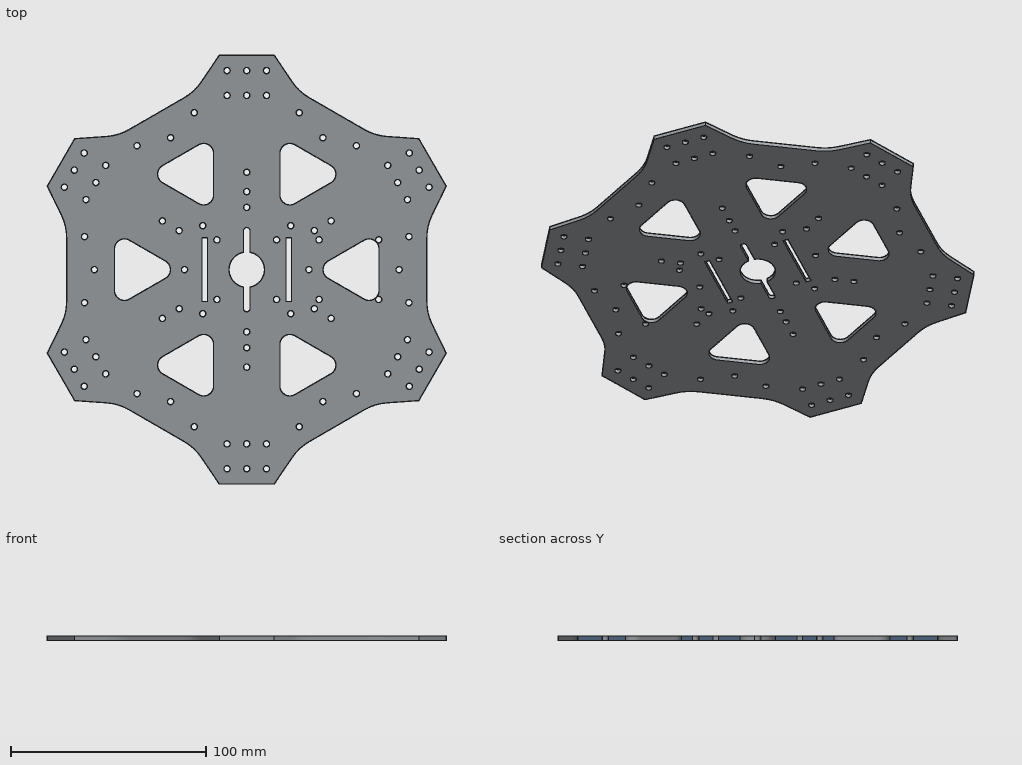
import cadquery as cq
import math

THICKNESS = 2.5
ARM_COUNT = 6
ARM_PITCH = 360 / ARM_COUNT
FIRST_ARM_ANGLE = 90
FIRST_SIDE_ANGLE = 0

ARM_REACH = 110.0
ARM_TIP_HALF_WIDTH = 14.0
BODY_APOTHEM = 92.5
ARM_FLARE_ANGLE = 34.0
VALLEY_RADIUS = 26.5

HOLE_DIAMETER = 3.0
MOTOR_ROWS = (
    (102.0, (-10.1, 0, 10.1)),
    (89.3, (-10.1, 0, 10.1)),
)
ARM_INNER_RADII = (50.0, 40.0)
SIDE_MIDDLE_RADIUS = 78.0
SIDE_PAIR_APOTHEM = 83.2
SIDE_PAIR_OFFSET = 17.0
HUB_CIRCLE_RADIUS = 32.0
HUB_HOLE_COUNT = 8
MOUNT_PITCH = 30.5
MOUNT_CENTRES_X = (0, 52.4)

WINDOW_CENTRE_RADIUS = 56.5
WINDOW_APOTHEM = 11.2
WINDOW_CORNER_RADIUS = 5.0

BORE_DIAMETER = 18.0
KEY_SLOT_LENGTH = 43.1
KEY_SLOT_WIDTH = 3.3
STRAP_SLOT_X = 21.5
STRAP_SLOT_LENGTH = 32.5
STRAP_SLOT_WIDTH = 2.6


def polar(along, across, angle):
    """Point at `along` in the direction `angle`, shifted `across` to its left."""
    a = math.radians(angle)
    return (
        along * math.cos(a) - across * math.sin(a),
        along * math.sin(a) + across * math.cos(a),
    )


def around(first_angle):
    """The six directions that start at `first_angle`."""
    return [first_angle + i * ARM_PITCH for i in range(ARM_COUNT)]


def make_plate():
    corner_along, corner_across = polar(ARM_REACH, -ARM_TIP_HALF_WIDTH, ARM_PITCH / 2)
    flank_angle = math.radians(ARM_PITCH / 2 + ARM_FLARE_ANGLE)
    valley_across = corner_across - (corner_along - BODY_APOTHEM) * math.tan(flank_angle)

    points = []
    for angle in around(FIRST_SIDE_ANGLE):
        points += [
            polar(corner_along, -corner_across, angle),
            polar(BODY_APOTHEM, -valley_across, angle),
            polar(BODY_APOTHEM, valley_across, angle),
            polar(corner_along, corner_across, angle),
        ]
    blank = cq.Workplane("XY").polyline(points).close().extrude(THICKNESS)

    valley_distance = math.hypot(BODY_APOTHEM, valley_across)
    corner_distance = math.hypot(ARM_REACH, ARM_TIP_HALF_WIDTH)
    limit = (valley_distance + corner_distance) / 2
    edges = [
        e for e in blank.edges("|Z").vals()
        if math.hypot(e.Center().x, e.Center().y) < limit
    ]
    return blank.newObject(edges).fillet(VALLEY_RADIUS)


def hole_centres():
    centres = []
    for angle in around(FIRST_ARM_ANGLE):
        for along, offsets in MOTOR_ROWS:
            centres += [polar(along, across, angle) for across in offsets]
        centres += [polar(radius, 0, angle) for radius in ARM_INNER_RADII]
    for angle in around(FIRST_SIDE_ANGLE):
        centres.append(polar(SIDE_MIDDLE_RADIUS, 0, angle))
        centres.append(polar(SIDE_PAIR_APOTHEM, SIDE_PAIR_OFFSET, angle))
        centres.append(polar(SIDE_PAIR_APOTHEM, -SIDE_PAIR_OFFSET, angle))
    for i in range(HUB_HOLE_COUNT):
        centres.append(polar(HUB_CIRCLE_RADIUS, 0, i * 360 / HUB_HOLE_COUNT))
    half = MOUNT_PITCH / 2
    for x in MOUNT_CENTRES_X:
        centres += [(x + dx, dy) for dx in (-half, half) for dy in (-half, half)]
    return centres


def make_holes():
    holes = cq.Workplane("XY").pushPoints(hole_centres())
    return holes.circle(HOLE_DIAMETER / 2).extrude(THICKNESS)


def make_windows():
    circumdiameter = 4 * WINDOW_APOTHEM
    window = (
        cq.Workplane("XY")
        .polygon(3, circumdiameter)
        .extrude(THICKNESS)
        .edges("|Z")
        .fillet(WINDOW_CORNER_RADIUS)
        .rotate((0, 0, 0), (0, 0, 1), 180)
        .translate((WINDOW_CENTRE_RADIUS, 0, 0))
    )
    windows = cq.Workplane("XY")
    for angle in around(FIRST_SIDE_ANGLE):
        windows = windows.add(window.rotate((0, 0, 0), (0, 0, 1), angle))
    return windows.combine()


def make_centre_openings():
    bore = cq.Workplane("XY").circle(BORE_DIAMETER / 2).extrude(THICKNESS)
    key_slot = cq.Workplane("XY").slot2D(KEY_SLOT_LENGTH, KEY_SLOT_WIDTH, 90).extrude(THICKNESS)
    strap_slots = (
        cq.Workplane("XY")
        .pushPoints([(-STRAP_SLOT_X, 0), (STRAP_SLOT_X, 0)])
        .rect(STRAP_SLOT_WIDTH, STRAP_SLOT_LENGTH)
        .extrude(THICKNESS)
    )
    return bore.union(key_slot).union(strap_slots)


result = make_plate().cut(make_holes()).cut(make_windows()).cut(make_centre_openings())